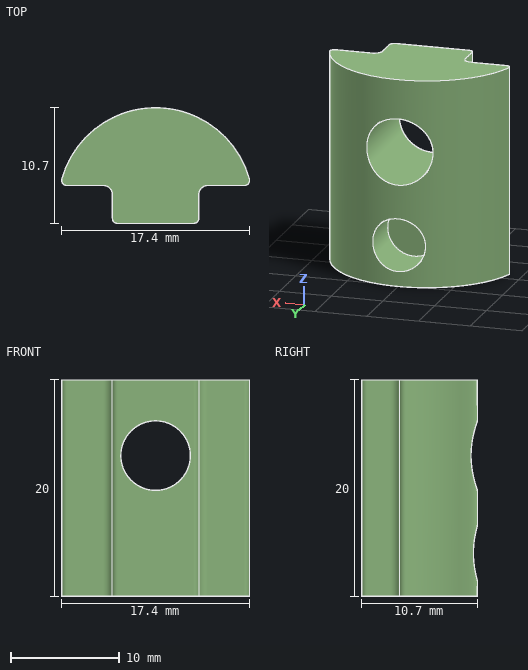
import cadquery as cq
import math

length = 20.0
depth = 10.7
stem_width = 8.0
stem_depth = 3.5
crown_radius = 9.0
root_radius = 0.8
edge_radius = 0.5

through_hole_diameter = 6.4
through_hole_height = 13.0
back_hole_diameter = 5.1
back_hole_height = 4.0
back_hole_depth = 5.0

crown_y = crown_radius
stem_y = crown_y - depth
flange_y = stem_y + stem_depth
half_stem = stem_width / 2
half_flange = math.sqrt(crown_radius**2 - flange_y**2)


def make_body():
    """T-shaped profile with a round crown, extruded along Z, its long edges rounded."""
    body = (
        cq.Workplane("XY")
        .moveTo(-half_stem, stem_y)
        .lineTo(half_stem, stem_y)
        .lineTo(half_stem, flange_y)
        .lineTo(half_flange, flange_y)
        .threePointArc((0, crown_y), (-half_flange, flange_y))
        .lineTo(-half_stem, flange_y)
        .close()
        .extrude(length)
    )

    def edges_at(x, y):
        points = [(side * x, y, length / 2) for side in (-1, 1)]
        edges = [body.edges(cq.selectors.NearestToPointSelector(p)).val() for p in points]
        return body.newObject(edges)

    body = edges_at(half_stem, flange_y).fillet(root_radius)
    body = edges_at(half_stem, stem_y).fillet(edge_radius)
    return edges_at(half_flange, flange_y).fillet(edge_radius)


def cylinder_along_y(diameter, height, start_y, end_y):
    """Hole cutter on the part's middle plane."""
    return cq.Workplane(
        cq.Solid.makeCylinder(
            diameter / 2, end_y - start_y, cq.Vector(0, start_y, height), cq.Vector(0, 1, 0)
        )
    )


through_hole = cylinder_along_y(through_hole_diameter, through_hole_height, stem_y, crown_y)
back_hole = cylinder_along_y(
    back_hole_diameter, back_hole_height, crown_y - back_hole_depth, crown_y
)

result = make_body().cut(through_hole).cut(back_hole)